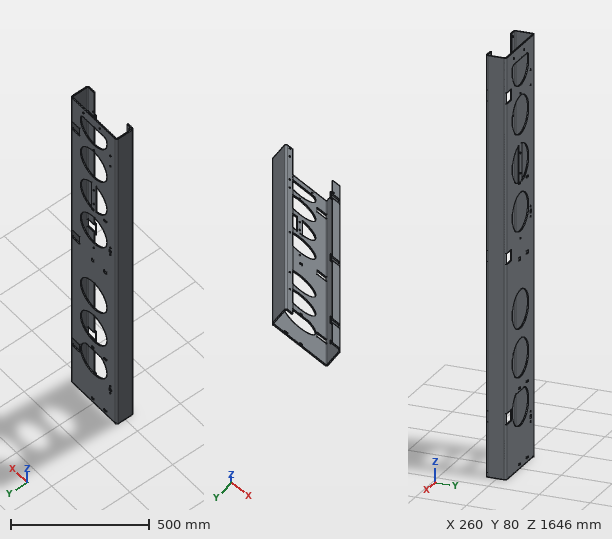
import cadquery as cq

LENGTH = 1646.0
WIDTH = 260.0
DEPTH = 80.0
SHEET = 5.0
BEND_OUTER = 8.0
BEND_INNER = BEND_OUTER - SHEET
LEFT_LIP = 33.0
RIGHT_LIP = 40.0

HALF_X = WIDTH / 2
BACK_Y = DEPTH / 2
TOP_Z = LENGTH / 2
BOTTOM_Z = -LENGTH / 2
LIP_PLANE = cq.Workplane("XZ", origin=(0, -BACK_Y, 0))
WEB_PLANE = cq.Workplane("XZ", origin=(0, BACK_Y - 2 * SHEET, 0))
CUT_DEPTH = 3 * SHEET

OPENING_DIAMETER = 150.0
OPENING_PITCH = 190.0
TOP_OPENING_Z = 745.0
SOLID_POSITION = 4
OPENING_COUNT = 8
TOP_FLAT_Z = 774.0
BOTTOM_FLAT_Z = -519.0
FLAT_CORNER_RADIUS = 13.0
BAR_POSITION = 2
BAR_WIDTH = 25.0

PIN_HOLE = 5.8
WEB_HOLES = [(-35.0, 797.0), (60.0, 797.0), (0, 639.0), (0, 407.0), (0, 328.0), (0, 74.0)]
LIP_HOLE_X = -110.0
LIP_HOLE_HEIGHTS = [807.0, 730.0, 499.0, 418.0, -30.0, -431.0, -601.0]
RIGHT_LIP_HOLE = (95.0, 708.0)

SLOT_HEIGHT = 5.8
WIDE_SLOT_X = -65.0
WIDE_SLOT = 15.0
NARROW_SLOT_X = 7.0
NARROW_SLOT = 12.0
SLOT_ROWS = [291.0, -507.0, -803.0]
TALL_SLOT_ROW = -3.0
TALL_SLOT_HEIGHT = 12.0

SIDE_X = -94.0
SIDE_PIN_SPREAD = 20.0
SIDE_HOLE = 15.0
SIDE_HOLE_HEIGHTS = [145.0, -655.0]
PLAIN_PAIR_Z = 667.0
PLAIN_PAIR_SPREAD = 30.0

WINDOW_HEIGHTS = [665.0, 40.0, -585.0]
WINDOW_HEIGHT = 43.0
WINDOW_RIGHT = HALF_X - SHEET
BRIDGE_LEFT = HALF_X - 50.0
BRIDGE_WIDTH = 3.0
BRIDGE_THICKNESS = 3.0
LEG_HEIGHT = 10.0
END_NOTCH_HEIGHT = 20.0

LOWER_TRIM = 3.0


def block(left, right, bottom, top, front, back):
    """Box given by its limits along X, Z and Y."""
    size = (right - left, back - front, top - bottom)
    return cq.Workplane("XY").box(*size, centered=False).translate((left, front, bottom))


def bridge_tab(bottom, top):
    """Thin tab widening the right lip inward, flush with its front face."""
    return block(BRIDGE_LEFT, HALF_X - RIGHT_LIP, bottom, top, -BACK_Y, BRIDGE_THICKNESS - BACK_Y)


def web_cut(sketch):
    """Extrude a sketch on the web plane through the web, toward the back."""
    return sketch.extrude(-CUT_DEPTH)


def channel():
    """Lipped channel: back web, two side walls and two inward front lips."""
    outer = cq.Workplane("XY").box(WIDTH, DEPTH, LENGTH).edges("|Z").fillet(BEND_OUTER)
    inner = cq.Workplane("XY").box(WIDTH - 2 * SHEET, DEPTH - 2 * SHEET, LENGTH)
    inner = inner.edges("|Z").fillet(BEND_INNER)
    mouth = block(LEFT_LIP - HALF_X, HALF_X - RIGHT_LIP, BOTTOM_Z, TOP_Z, -BACK_Y, 0)
    return outer.cut(inner).cut(mouth)


def large_openings():
    """Round openings, the end ones flat-topped and one split by an upright bar."""
    radius = OPENING_DIAMETER / 2
    heights = [TOP_OPENING_Z - i * OPENING_PITCH for i in range(OPENING_COUNT)]
    bar_z = heights[BAR_POSITION]
    heights.pop(SOLID_POSITION)
    discs = web_cut(WEB_PLANE.pushPoints([(0, z) for z in heights]).circle(radius))
    caps = [(TOP_FLAT_Z, heights[0] + radius), (BOTTOM_FLAT_Z, heights[-1] + radius)]
    for flat_z, crown_z in caps:
        discs = discs.cut(block(-radius, radius, flat_z, crown_z, 0, DEPTH))
        flat_corners = cq.selectors.BoxSelector((-radius, 0, flat_z - SHEET), (radius, DEPTH, flat_z + SHEET))
        discs = discs.edges("|Y").edges(flat_corners).fillet(FLAT_CORNER_RADIUS)
    half_bar = BAR_WIDTH / 2
    return discs.cut(block(-half_bar, half_bar, bar_z - radius, bar_z + radius, 0, DEPTH))


def web_slots():
    """Rows of one wide and one narrow slot."""
    slots = cq.Workplane("XY")
    rows = [(z, SLOT_HEIGHT) for z in SLOT_ROWS] + [(TALL_SLOT_ROW, TALL_SLOT_HEIGHT)]
    for z, height in rows:
        for x, width in [(WIDE_SLOT_X, WIDE_SLOT), (NARROW_SLOT_X, NARROW_SLOT)]:
            slots = slots.add(web_cut(WEB_PLANE.center(x, z).rect(width, height)))
    return slots.combine()


def small_web_holes():
    """Pin holes, plus side holes each flanked by two pin holes."""
    points = list(WEB_HOLES)
    pairs = [(z, SIDE_PIN_SPREAD) for z in SIDE_HOLE_HEIGHTS] + [(PLAIN_PAIR_Z, PLAIN_PAIR_SPREAD)]
    for z, spread in pairs:
        points += [(SIDE_X, z + spread), (SIDE_X, z - spread)]
    pins = web_cut(WEB_PLANE.pushPoints(points).circle(PIN_HOLE / 2))
    side_points = [(SIDE_X, z) for z in SIDE_HOLE_HEIGHTS]
    return pins.union(web_cut(WEB_PLANE.pushPoints(side_points).circle(SIDE_HOLE / 2)))


def lip_holes():
    points = [(LIP_HOLE_X, z) for z in LIP_HOLE_HEIGHTS] + [RIGHT_LIP_HOLE]
    return LIP_PLANE.pushPoints(points).circle(PIN_HOLE / 2).extrude(-CUT_DEPTH)


def add_window(body, z):
    """Cut one window through lip and web and frame it with a bridge strip."""
    low = z - WINDOW_HEIGHT / 2
    high = z + WINDOW_HEIGHT / 2
    body = body.union(bridge_tab(low - LEG_HEIGHT, high + LEG_HEIGHT))
    body = body.cut(block(BRIDGE_LEFT + BRIDGE_WIDTH, WINDOW_RIGHT, low, high, -BACK_Y, 0))
    return body.cut(block(BRIDGE_LEFT, WINDOW_RIGHT, low, high, 0, BACK_Y))


def add_end_notch(body):
    """Notch the lower end of the right lip, keeping a bridge strip beside it."""
    notch_top = BOTTOM_Z + END_NOTCH_HEIGHT
    body = body.union(bridge_tab(BOTTOM_Z, notch_top + LEG_HEIGHT))
    return body.cut(block(BRIDGE_LEFT + BRIDGE_WIDTH, WINDOW_RIGHT, BOTTOM_Z, notch_top, -BACK_Y, 0))


def trim_lower_end(body):
    """Shorten the web and the right side, leaving the left wall and lip full length."""
    trim_top = BOTTOM_Z + LOWER_TRIM
    body = body.cut(block(BEND_OUTER - HALF_X, HALF_X, BOTTOM_Z, trim_top, 0, BACK_Y))
    return body.cut(block(0, HALF_X, BOTTOM_Z, trim_top, -BACK_Y, 0))


result = channel()
for cutter in (large_openings(), web_slots(), small_web_holes(), lip_holes()):
    result = result.cut(cutter)
for window_z in WINDOW_HEIGHTS:
    result = add_window(result, window_z)
result = trim_lower_end(add_end_notch(result))